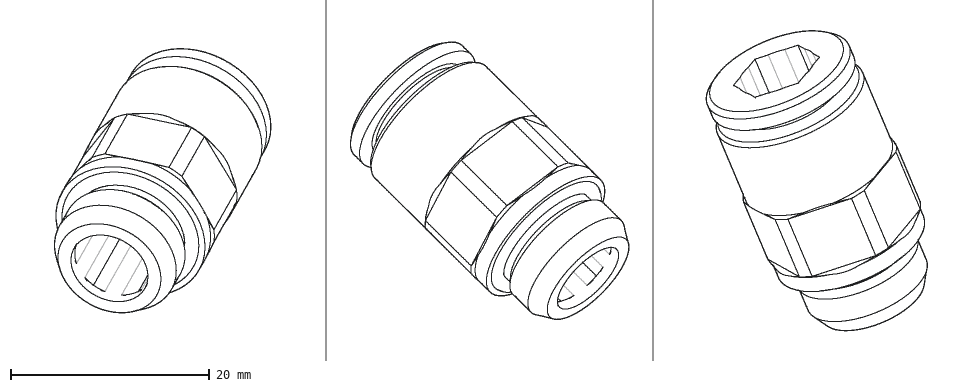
import cadquery as cq
import math


tip_dia = 10.98
thread_dia = 13.0
thread_neck_dia = 11.6
seal_dia = 14.6
body_dia = 15.9
body_end_dia = 15.23
hex_corner_dia = 16.5
ring_neck_dia = 11.4
ring_hub_dia = 12.15
ring_dia = 15.5
ring_end_dia = 14.4
bore_dia = 8.2

tip_taper_end = 1.82
thread_neck_start = 5.25
seal_start = 5.82
flange_start = 6.5
hex_start = 8.5
hex_length = 7.0
body_edge = 24.1
body_end = 24.55
body_cone_height = 0.22
ring_hub_start = 25.93
ring_start = 26.1
ring_edge = 27.5
total_length = 28.0

outer_flats = 15.0
socket_flats = 8.0
socket_start = 1.18

overlap = 0.28

hex_end = hex_start + hex_length
thread_end = thread_neck_start - (thread_dia - thread_neck_dia) / 2
corner_step = (hex_corner_dia - body_dia) / 2


def turned_body():
    """Full outer shape, with a collar from which the hexagon is cut."""
    stations = [
        (tip_dia, 0),
        (thread_dia, tip_taper_end),
        (thread_dia, thread_end),
        (thread_neck_dia, thread_neck_start),
        (thread_neck_dia, flange_start),
        (body_dia, flange_start),
        (body_dia, hex_start - corner_step),
        (hex_corner_dia, hex_start),
        (hex_corner_dia, hex_end),
        (body_dia, hex_end + corner_step),
        (body_dia, body_edge),
        (body_end_dia, body_end),
        (ring_neck_dia, body_end + body_cone_height),
        (ring_neck_dia, ring_hub_start),
        (ring_hub_dia, ring_start),
        (ring_dia, ring_start),
        (ring_dia, ring_edge),
        (ring_end_dia, total_length),
    ]
    profile = cq.Workplane("XY").moveTo(0, 0)
    for diameter, y in stations:
        profile = profile.lineTo(diameter / 2, y)
    profile = profile.lineTo(0, total_length).close()
    return profile.revolve(360, (0, 0, 0), (0, 1, 0))


def seal_ring():
    """Rounded seal filling the corner between the thread neck and the flange face."""
    outer_radius = seal_dia / 2
    inner_radius = thread_neck_dia / 2
    middle_radius = (inner_radius + outer_radius) / 2
    return (
        cq.Workplane("XY")
        .moveTo(inner_radius, flange_start)
        .threePointArc((middle_radius, seal_start), (outer_radius, flange_start))
        .lineTo(outer_radius, flange_start + overlap)
        .lineTo(inner_radius - overlap, flange_start + overlap)
        .lineTo(inner_radius - overlap, flange_start)
        .close()
        .revolve(360, (0, 0, 0), (0, 1, 0))
    )


def flat_cutter(angle):
    """Removes one wrench flat; its two ends slope outward at 45 degrees."""
    flat_height = outer_flats / 2
    top_height = hex_corner_dia / 2 + overlap
    run_out = top_height - flat_height
    cutter = (
        cq.Workplane("YZ")
        .moveTo(hex_start, flat_height)
        .lineTo(hex_end, flat_height)
        .lineTo(hex_end + run_out, top_height)
        .lineTo(hex_start - run_out, top_height)
        .close()
        .extrude(hex_corner_dia / 2, both=True)
    )
    return cutter.rotate((0, 0, 0), (0, 1, 0), angle)


def bore():
    """Round through bore."""
    return cq.Workplane("XZ").circle(bore_dia / 2).extrude(-total_length)


def hex_socket():
    """Hexagon whose corners cut grooves into the bore wall behind a plain round mouth."""
    corner_to_corner = socket_flats / math.cos(math.radians(30))
    return (
        cq.Workplane("XZ", origin=(0, socket_start, 0))
        .polygon(6, corner_to_corner)
        .extrude(socket_start - total_length)
    )


result = turned_body().union(seal_ring())
for side in range(6):
    result = result.cut(flat_cutter(60 * side))
result = result.cut(bore()).cut(hex_socket())